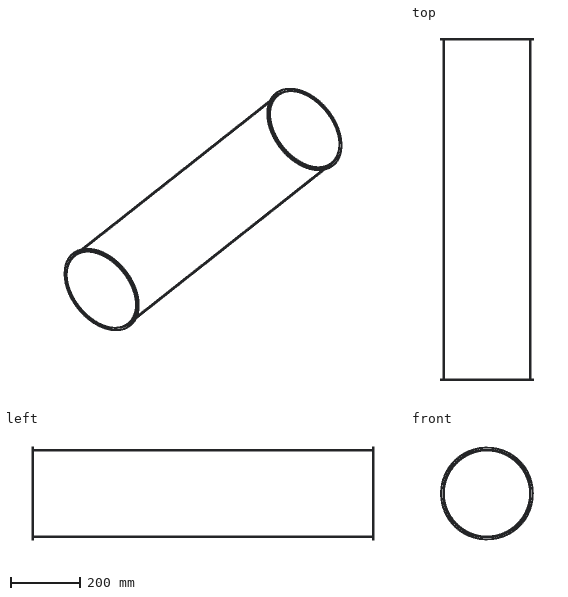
import cadquery as cq

length = 988.0
bore_diameter = 249.0
tube_diameter = 255.0
flange_diameter = 267.0
flange_thickness = (tube_diameter - bore_diameter) / 2


def ring(outer_diameter, ring_length, start_y):
    """Ring around the Y axis, from start_y toward +Y, with the common bore."""
    plane = cq.Workplane("XZ", origin=(0, start_y, 0))
    return plane.circle(outer_diameter / 2).circle(bore_diameter / 2).extrude(-ring_length)


tube = ring(tube_diameter, length, -length / 2)

front_flange = ring(flange_diameter, flange_thickness, -length / 2)
back_flange = ring(flange_diameter, flange_thickness, length / 2 - flange_thickness)

result = tube.union(front_flange).union(back_flange)